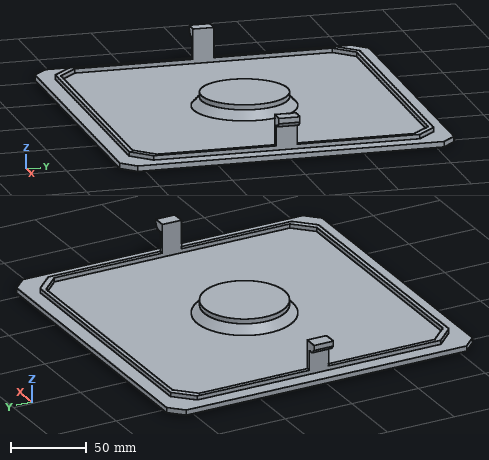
import cadquery as cq

plate_side = 229.5
plate_thickness = 4.0
plate_corner = 9.6

rim_side = 209.0
rim_wall = 3.0
rim_height = 3.0
rim_corner = 13.0

boss_diameter = 59.7
cone_base_diameter = 70.7
cone_height = 6.0
boss_height = 9.5

overall_height = 27.8
clip_width = 14.5
hook_reach = 6.7
hook_depth = 6.7
hook_bevel = 3.0


def cut_corner_square(side, corner, height, base_z):
    """Square prism whose four vertical edges are chamfered."""
    return (
        cq.Workplane("XY")
        .workplane(offset=base_z)
        .rect(side, side)
        .extrude(height)
        .edges("|Z")
        .chamfer(corner)
    )


def make_rim():
    outer = cut_corner_square(rim_side, rim_corner, rim_height, plate_thickness)
    inner = cut_corner_square(rim_side - 2 * rim_wall, rim_corner, rim_height, plate_thickness)
    return outer.cut(inner)


def make_boss():
    """Flared round boss, revolved about Z."""
    boss_radius = boss_diameter / 2
    cone_top = plate_thickness + cone_height
    boss_top = plate_thickness + boss_height
    return (
        cq.Workplane("XZ")
        .moveTo(0, plate_thickness)
        .lineTo(cone_base_diameter / 2, plate_thickness)
        .lineTo(boss_radius, cone_top)
        .lineTo(boss_radius, boss_top)
        .lineTo(0, boss_top)
        .close()
        .revolve(360, (0, 0, 0), (0, 1, 0))
    )


def make_clip():
    """Clip on the +X side: upright flush with the rim wall, hook bevelled underneath."""
    outer_face = rim_side / 2
    inner_face = outer_face - rim_wall
    hook_tip = outer_face + hook_reach
    hook_bottom = overall_height - hook_depth
    return (
        cq.Workplane("XZ")
        .moveTo(inner_face, plate_thickness)
        .lineTo(outer_face, plate_thickness)
        .lineTo(outer_face, hook_bottom)
        .lineTo(hook_tip - hook_bevel, hook_bottom)
        .lineTo(hook_tip, hook_bottom + hook_bevel)
        .lineTo(hook_tip, overall_height)
        .lineTo(inner_face, overall_height)
        .close()
        .extrude(clip_width / 2, both=True)
    )


plate = cut_corner_square(plate_side, plate_corner, plate_thickness, 0)
clip = make_clip()

result = plate.union(make_rim()).union(make_boss())
for opposite_clip in (clip, clip.mirror("YZ")):
    result = result.union(opposite_clip)